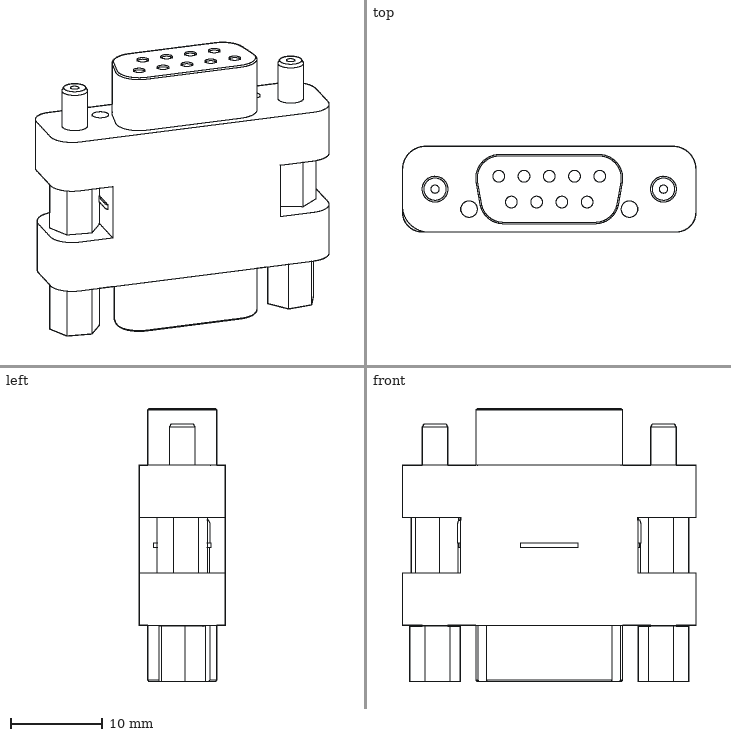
import cadquery as cq
import math

length = 32.13
depth = 9.4
height = 29.88
shell_height = 6.17
plate_thickness = 5.75
lower_plate_bottom = shell_height
lower_plate_top = lower_plate_bottom + plate_thickness
upper_plate_top = height - shell_height
upper_plate_bottom = upper_plate_top - plate_thickness
waist_height = upper_plate_bottom - lower_plate_top
waist_half_length = 9.7

back_corner_radius = 2.55
large_front_radius = 2.9
small_front_radius = 2.2

shell_half_width = 7.87
shell_half_depth = 3.8
shell_side_angle = math.radians(10)
shell_corner_radius = 2.6
shell_edge_chamfer = 0.15

contact_radius = 0.65
contact_depth = 0.2
contact_pitch = 2.75
contact_row_y = 1.4

screw_x = 12.5
hex_circumradius = 2.8
hex_gap = 0.1
shaft_radius = 1.4
shaft_top = 28.2
shaft_chamfer_width = 0.2
shaft_chamfer_height = 0.35
shaft_hole_radius = 0.45
shaft_hole_depth = 1.3
waist_hex_angles = {-1: -20.5, 1: -6.5}
lower_hex_angles = {-1: 6.5, 1: -6.5}

case_screw_x = 8.77
case_screw_y = 2.2
case_hole_radius = 0.9
clearance_radius = 2.1
post_radius = 1.22
post_upper_radius = 1.25
post_top = 17.67
post_chamfer_width = 0.1
post_chamfer_height = 0.32

slit_length = 6.3
slit_height = 0.5
slit_depth = 0.32
slit_bottom = (height - slit_height) / 2
slit_top = slit_bottom + slit_height

rib_protrusion = 0.2
rib_depth = 6.68
rib_corner_radius = 0.65


def cylinder(x, y, radius, bottom, top):
    """Upright cylinder between two heights."""
    return cq.Workplane("XY", origin=(x, y, bottom)).circle(radius).extrude(top - bottom)


def plate(bottom, left_front_radius, right_front_radius):
    """Flange plate with individually rounded vertical corners."""
    body = cq.Workplane("XY", origin=(0, 0, bottom)).rect(length, depth).extrude(plate_thickness)
    body = body.edges("|Z and >Y").fillet(back_corner_radius)
    body = body.edges("|Z and <Y and <X").fillet(left_front_radius)
    return body.edges("|Z and <Y and >X").fillet(right_front_radius)


def shell(bottom, free_face):
    """D-shaped shell, wider toward +Y, chamfered around its free end face."""
    flare = shell_half_depth * math.tan(shell_side_angle)
    back = shell_half_width + flare
    front = shell_half_width - flare
    corners = [
        (-back, shell_half_depth),
        (back, shell_half_depth),
        (front, -shell_half_depth),
        (-front, -shell_half_depth),
    ]
    body = cq.Workplane("XY", origin=(0, 0, bottom)).polyline(corners).close().extrude(shell_height)
    body = body.edges("|Z").fillet(shell_corner_radius)
    return body.faces(free_face).edges().chamfer(shell_edge_chamfer)


def contact_holes():
    """Shallow holes in a row of five at the back and a row of four at the front."""
    points = []
    for count, y in ((5, contact_row_y), (4, -contact_row_y)):
        for i in range(count):
            points.append(((i - (count - 1) / 2) * contact_pitch, y))
    top_plane = cq.Workplane("XY", origin=(0, 0, height))
    return top_plane.pushPoints(points).circle(contact_radius).extrude(-contact_depth)


def hexagon(x, angle, bottom, top):
    """Upright hexagonal prism turned about its own axis."""
    prism = cq.Workplane("XY").polygon(6, 2 * hex_circumradius).extrude(top - bottom)
    return prism.rotate((0, 0, 0), (0, 0, 1), angle).translate((x, 0, bottom))


def jack_screw(side):
    """Threaded end above, one hexagon in the waist and one below the lower plate."""
    x = side * screw_x
    hex_top = lower_plate_bottom - hex_gap
    shaft = cylinder(x, 0, shaft_radius, upper_plate_top, shaft_top)
    shaft = shaft.faces(">Z").chamfer(shaft_chamfer_height, shaft_chamfer_width)
    shaft = shaft.cut(cylinder(x, 0, shaft_hole_radius, shaft_top - shaft_hole_depth, shaft_top))
    screw = shaft.union(hexagon(x, waist_hex_angles[side], lower_plate_top, upper_plate_bottom))
    screw = screw.union(hexagon(x, lower_hex_angles[side], 0, hex_top))
    return screw.union(cylinder(x, 0, shaft_radius, hex_top, lower_plate_bottom))


def case_screw_post(side):
    """Stepped post bulging from the waist end beside the jack screw."""
    x = side * case_screw_x
    upper_post = cylinder(x, -case_screw_y, post_upper_radius, slit_top, post_top)
    upper_post = upper_post.faces(">Z").chamfer(post_chamfer_height, post_chamfer_width)
    return upper_post.union(cylinder(x, -case_screw_y, post_radius, lower_plate_top, slit_top))


waist = (
    cq.Workplane("XY", origin=(0, 0, lower_plate_top))
    .rect(2 * waist_half_length, depth)
    .extrude(waist_height)
)
upper_plate = plate(upper_plate_bottom, large_front_radius, small_front_radius)
lower_plate = plate(lower_plate_bottom, small_front_radius, large_front_radius)
result = waist.union(upper_plate).union(lower_plate)

rib = (
    cq.Workplane("XY", origin=(0, 0, slit_bottom))
    .rect(2 * (waist_half_length + rib_protrusion), rib_depth)
    .extrude(slit_height)
    .edges("|Z")
    .fillet(rib_corner_radius)
)
result = result.union(rib)

slit = cq.Workplane("XY").box(slit_length, slit_depth, slit_height, centered=(True, False, False))
result = result.cut(slit.translate((0, -depth / 2, slit_bottom)))

upper_shell = shell(upper_plate_top, ">Z").cut(contact_holes())
lower_shell = shell(0, "<Z")
for side in (-1, 1):
    clearance = cylinder(side * case_screw_x, -case_screw_y, clearance_radius, 0, shell_height)
    lower_shell = lower_shell.cut(clearance)
result = result.union(upper_shell).union(lower_shell)

for side in (-1, 1):
    result = result.union(case_screw_post(side)).union(jack_screw(side))
    case_hole = cylinder(
        side * case_screw_x, -case_screw_y, case_hole_radius, upper_plate_bottom, upper_plate_top
    )
    result = result.cut(case_hole)